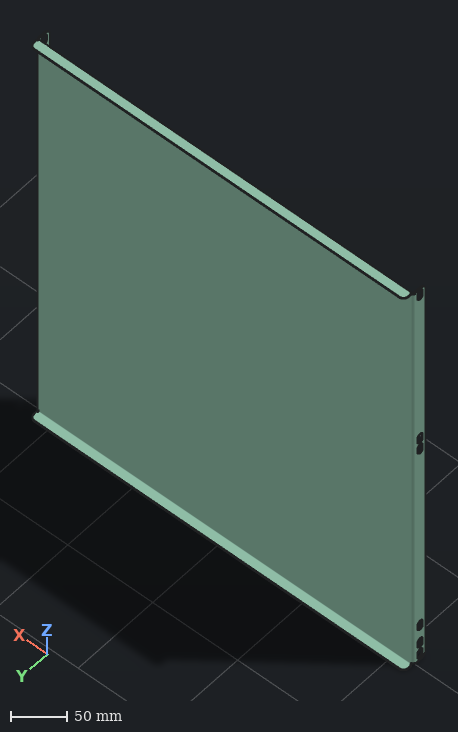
import cadquery as cq

width = 444.0
depth = 27.0
height = 520.0

sheet = 1.5
bend_radius = 2.5
inner_radius = bend_radius - sheet

face_back = 3.0
face_front = face_back - sheet
flange_front = -depth / 2
flange_back = depth / 2

flat_width = width - 2 * bend_radius
flat_height = height - 2 * bend_radius
flange_inset = 1.5
flange_overrun = bend_radius - flange_inset
corner_radius = 5.5

slot_width = 7.5
slot_length = 12.0
slot_y = flange_front + 7.5
slot_heights = [250.0, 50.0, 35.5, -210.5, -235.0, -250.0]


def bent_flange(half_span, reach, bend_length):
    """Bend and flange folding towards +Y at +X, running along Z.

    The flat face's outer skin is on Y = 0 and the flange tip is at Y = reach.
    """
    start = half_span - bend_radius
    diagonal = 0.5 ** 0.5
    profile = (
        cq.Workplane("XY")
        .moveTo(start, 0)
        .threePointArc(
            (start + bend_radius * diagonal, bend_radius * (1 - diagonal)),
            (half_span, bend_radius),
        )
        .lineTo(half_span, reach)
        .lineTo(half_span - sheet, reach)
        .lineTo(half_span - sheet, bend_radius)
        .threePointArc(
            (start + inner_radius * diagonal, bend_radius - inner_radius * diagonal),
            (start, sheet),
        )
        .close()
    )
    flange_length = bend_length + 2 * flange_overrun
    bent_sheet = profile.extrude(flange_length / 2, both=True)
    bend_relief = (
        cq.Workplane("XY")
        .rect(2 * half_span, 2 * bend_radius)
        .extrude(flange_overrun)
        .translate((0, 0, bend_length / 2))
    )
    return bent_sheet.cut(bend_relief).cut(bend_relief.mirror("XY"))


face = (
    cq.Workplane("XY")
    .box(flat_width, sheet, flat_height)
    .translate((0, (face_front + face_back) / 2, 0))
)

side_flange = (
    bent_flange(width / 2, face_back - flange_front, flat_height)
    .faces(">Y").edges("|X").fillet(corner_radius)
    .mirror("XZ")
    .translate((0, face_back, 0))
)

slots = (
    cq.Workplane("YZ")
    .pushPoints([(slot_y, z) for z in slot_heights])
    .slot2D(slot_length, slot_width, 90)
    .extrude(width)
)
side_flange = side_flange.cut(slots)

end_flange = (
    bent_flange(height / 2, flange_back - face_front, flat_width)
    .faces(">Y").edges("|X").fillet(corner_radius)
    .rotate((0, 0, 0), (0, 1, 0), -90)
    .translate((0, face_front, 0))
)

result = (
    face
    .union(side_flange)
    .union(side_flange.mirror("YZ"))
    .union(end_flange)
    .union(end_flange.mirror("XY"))
)